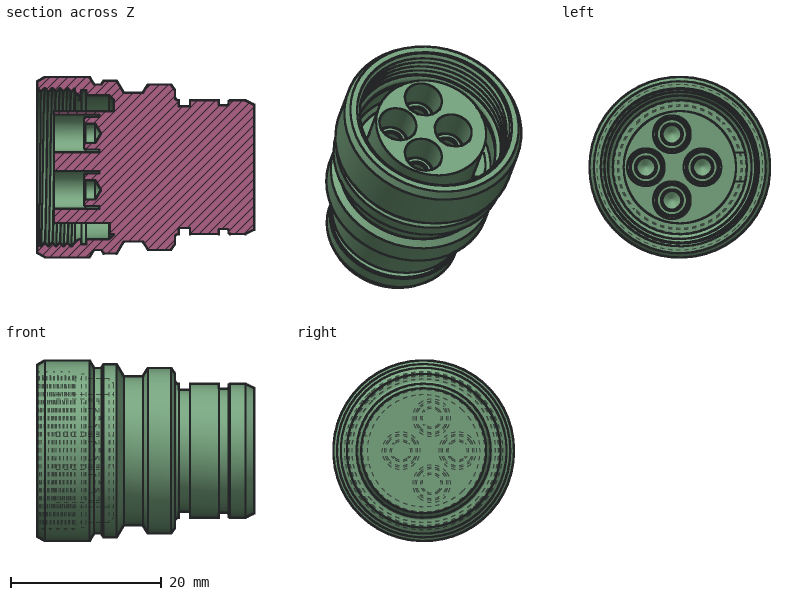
import cadquery as cq
import math

LENGTH = 28.8
NUT_RADIUS = 12.0

FRONT_EDGE_RADIUS = 11.4
FRONT_CHAMFER_END = 1.05
NUT_END = 6.95
COLLAR_RADIUS = 11.0
NUT_TAPER_END = 7.55
RING_RADIUS = 11.5
RING_START = 8.5
RING_FLAT_START = 8.8
RING_FLAT_END = 10.55
RING_TAPER_END = 11.5
NECK_RADIUS = 9.9
FLANGE_START = 14.05
FLANGE_FRONT_RADIUS = 10.0
FLANGE_FLAT_START = 14.7
FLANGE_FLAT_END = 17.75
FLANGE_END = 18.3
FLANGE_BACK_RADIUS = 10.2
TAIL_RADIUS = 8.9
ROOT_END = 18.8
ROOT_STEP_RADIUS = 9.3
RELIEF_RADIUS = 8.1
TAIL_START = 20.25
SEAL_GROOVE_START = 24.1
SEAL_GROOVE_END = 25.25
SEAL_GROOVE_RADIUS = 8.25
SEAL_GROOVE_FILLET = 0.1
SEAL_LIP_END = 25.6
SEAL_LIP_RADIUS = 8.75
TAIL_TAPER_START = 27.6
TAIL_END_RADIUS = 8.3

THREAD_CREST_RADIUS = 10.0
THREAD_ROOT_RADIUS = 10.5
THREAD_PITCH = 1.0
THREAD_CREST_FLAT = 0.04
THREAD_END = 5.0
MOUTH_CHAMFER_END = THREAD_ROOT_RADIUS - THREAD_CREST_RADIUS
LIP_RADIUS = 9.5
LIP_END = 5.85
LIP_LENGTH = LIP_END - THREAD_END
LIP_HEIGHT = THREAD_CREST_RADIUS - LIP_RADIUS
LIP_CURVE_RADIUS = (LIP_LENGTH**2 + LIP_HEIGHT**2) / (2 * LIP_HEIGHT)
UNDERCUT_END = 6.5
UNDERCUT_RADIUS = 10.2
CHANNEL_RADIUS = 9.55
CHANNEL_FLOOR_RADIUS = 8.9
CHANNEL_TAPER_START = 9.5
CHANNEL_FLOOR = CHANNEL_TAPER_START + CHANNEL_RADIUS - CHANNEL_FLOOR_RADIUS
INSERT_RADIUS = 7.45
INSERT_FACE = 2.2
KEY_WIDTH = 3.85
KEY_LENGTH = 0.5

CONTACT_CIRCLE_RADIUS = 4.5
OFFSET_CONTACT_Y = -3.0
SIDE_CONTACT_Y = 1.05
SIDE_CONTACT_Z = math.sqrt(CONTACT_CIRCLE_RADIUS**2 - SIDE_CONTACT_Y**2)
CONTACT_CENTRES = [
    (CONTACT_CIRCLE_RADIUS, 0.0),
    (OFFSET_CONTACT_Y, 0.0),
    (SIDE_CONTACT_Y, SIDE_CONTACT_Z),
    (SIDE_CONTACT_Y, -SIDE_CONTACT_Z),
]
CAVITY_RADIUS = 2.5
CONTACT_RADIUS = 2.2
CONTACT_CHAMFER = 0.2
CONTACT_RECESS = 4.0
CONTACT_LENGTH = 2.0
CONTACT_TIP = INSERT_FACE + CONTACT_RECESS
CAVITY_FLOOR = CONTACT_TIP + CONTACT_LENGTH
SOCKET_RADIUS = 1.25
SOCKET_CHAMFER = 0.2
SOCKET_DEPTH = 1.5
SOCKET_CONE_DEPTH = 0.75


def turned(profile):
    """Revolve a profile of (x, radius) points about the X axis."""
    return profile.close().revolve(360, (0, 0, 0), (1, 0, 0))


def make_body():
    root_fillet_depth = ROOT_STEP_RADIUS - TAIL_RADIUS
    groove_corner = SEAL_GROOVE_RADIUS + SEAL_GROOVE_FILLET
    profile = (
        cq.Workplane("XY")
        .moveTo(0, 0)
        .lineTo(0, FRONT_EDGE_RADIUS)
        .lineTo(FRONT_CHAMFER_END, NUT_RADIUS)
        .lineTo(NUT_END, NUT_RADIUS)
        .lineTo(NUT_TAPER_END, COLLAR_RADIUS)
        .lineTo(RING_START, COLLAR_RADIUS)
        .lineTo(RING_FLAT_START, RING_RADIUS)
        .lineTo(RING_FLAT_END, RING_RADIUS)
        .lineTo(RING_TAPER_END, NECK_RADIUS)
        .lineTo(FLANGE_START, NECK_RADIUS)
        .lineTo(FLANGE_START, FLANGE_FRONT_RADIUS)
        .lineTo(FLANGE_FLAT_START, COLLAR_RADIUS)
        .lineTo(FLANGE_FLAT_END, COLLAR_RADIUS)
        .lineTo(FLANGE_END, FLANGE_BACK_RADIUS)
        .lineTo(FLANGE_END, ROOT_STEP_RADIUS)
        .radiusArc((FLANGE_END + root_fillet_depth, TAIL_RADIUS), -root_fillet_depth)
        .lineTo(ROOT_END, TAIL_RADIUS)
        .lineTo(ROOT_END, RELIEF_RADIUS)
        .lineTo(TAIL_START, RELIEF_RADIUS)
        .lineTo(TAIL_START, TAIL_RADIUS)
        .lineTo(SEAL_GROOVE_START, TAIL_RADIUS)
        .lineTo(SEAL_GROOVE_START, groove_corner)
        .radiusArc((SEAL_GROOVE_START + SEAL_GROOVE_FILLET, SEAL_GROOVE_RADIUS), -SEAL_GROOVE_FILLET)
        .lineTo(SEAL_GROOVE_END, SEAL_GROOVE_RADIUS)
        .radiusArc((SEAL_GROOVE_END + SEAL_GROOVE_FILLET, groove_corner), -SEAL_GROOVE_FILLET)
        .lineTo(SEAL_GROOVE_END + SEAL_GROOVE_FILLET, SEAL_LIP_RADIUS)
        .lineTo(SEAL_LIP_END, TAIL_RADIUS)
        .lineTo(TAIL_TAPER_START, TAIL_RADIUS)
        .lineTo(LENGTH, TAIL_END_RADIUS)
        .lineTo(LENGTH, 0)
    )
    return turned(profile)


def make_bore():
    """Threaded mouth, rounded lip and channel, cut down to the channel floor."""
    profile = (
        cq.Workplane("XY")
        .moveTo(0, 0)
        .lineTo(0, THREAD_ROOT_RADIUS)
        .lineTo(MOUTH_CHAMFER_END, THREAD_CREST_RADIUS)
        .lineTo(THREAD_END, THREAD_CREST_RADIUS)
        .radiusArc((LIP_END, LIP_RADIUS), -LIP_CURVE_RADIUS)
        .lineTo(LIP_END, UNDERCUT_RADIUS)
        .lineTo(UNDERCUT_END, UNDERCUT_RADIUS)
        .lineTo(UNDERCUT_END, CHANNEL_RADIUS)
        .lineTo(CHANNEL_TAPER_START, CHANNEL_RADIUS)
        .lineTo(CHANNEL_FLOOR, CHANNEL_FLOOR_RADIUS)
        .lineTo(CHANNEL_FLOOR, 0)
    )
    return turned(profile)


def cylinder_x(start, end, radius, centre=(0, 0)):
    y, z = centre
    return cq.Workplane("YZ", origin=(start, y, z)).circle(radius).extrude(end - start)


def make_thread_groove():
    """Right-hand helical V groove, trimmed to the length of the thread."""
    half_width = (THREAD_PITCH - THREAD_CREST_FLAT) / 2
    depth = THREAD_ROOT_RADIUS - THREAD_CREST_RADIUS
    overlap = 0.01
    inner_half_width = half_width * (1 + overlap / depth)
    swept_length = THREAD_END + 2 * THREAD_PITCH
    helix = cq.Wire.makeHelix(THREAD_PITCH, swept_length, THREAD_CREST_RADIUS)
    groove = (
        cq.Workplane("XZ")
        .moveTo(THREAD_CREST_RADIUS - overlap, -inner_half_width)
        .lineTo(THREAD_ROOT_RADIUS, 0)
        .lineTo(THREAD_CREST_RADIUS - overlap, inner_half_width)
        .close()
        .sweep(cq.Workplane(helix), isFrenet=True)
        .rotate((0, 0, 0), (1, 1, 1), 120)
        .translate((-THREAD_PITCH, 0, 0))
    )
    return groove.intersect(cylinder_x(0, THREAD_END, NUT_RADIUS))


def make_key():
    """Rib on the -Y side, bridging the channel between insert and shell."""
    outer = cylinder_x(CHANNEL_FLOOR - KEY_LENGTH, CHANNEL_FLOOR, CHANNEL_FLOOR_RADIUS)
    strip = (
        cq.Workplane("XY")
        .box(KEY_LENGTH, CHANNEL_FLOOR_RADIUS, KEY_WIDTH, centered=(False, False, True))
        .translate((CHANNEL_FLOOR - KEY_LENGTH, -CHANNEL_FLOOR_RADIUS, 0))
    )
    return strip.intersect(outer)


def make_contact(centre):
    contact = cylinder_x(CONTACT_TIP, CAVITY_FLOOR, CONTACT_RADIUS, centre)
    return contact.faces("<X").chamfer(CONTACT_CHAMFER)


def make_socket(centre):
    """Blind socket with a countersunk mouth and a conical bottom."""
    y, z = centre
    profile = (
        cq.Workplane("XY")
        .moveTo(CONTACT_TIP, 0)
        .lineTo(CONTACT_TIP, SOCKET_RADIUS + SOCKET_CHAMFER)
        .lineTo(CONTACT_TIP + SOCKET_CHAMFER, SOCKET_RADIUS)
        .lineTo(CONTACT_TIP + SOCKET_DEPTH, SOCKET_RADIUS)
        .lineTo(CONTACT_TIP + SOCKET_DEPTH + SOCKET_CONE_DEPTH, 0)
    )
    return turned(profile).translate((0, y, z))


result = make_body().cut(make_bore()).cut(make_thread_groove())
result = result.union(cylinder_x(INSERT_FACE, CHANNEL_FLOOR, INSERT_RADIUS))
result = result.union(make_key())
for contact_centre in CONTACT_CENTRES:
    result = result.cut(cylinder_x(INSERT_FACE, CAVITY_FLOOR, CAVITY_RADIUS, contact_centre))
    result = result.union(make_contact(contact_centre))
    result = result.cut(make_socket(contact_centre))